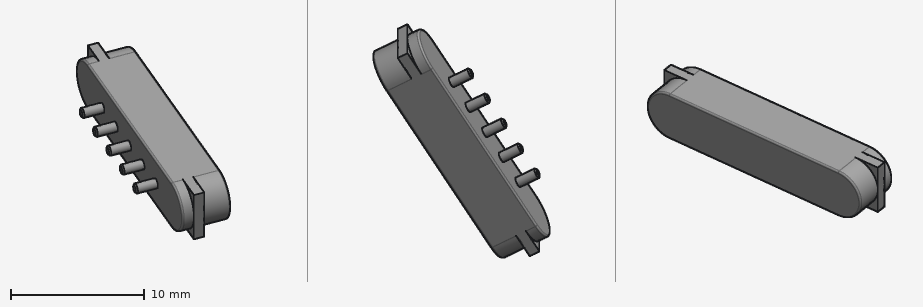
import cadquery as cq

length = 20.08
height = 4.2
body_depth = 4.0
body_edge_radius = 0.15

flange_setback = 0.96
flange_thickness = 0.85

pin_count = 5
pin_pitch = 2.53
pin_diameter = 0.8
pin_length = 1.75
pin_tip_chamfer = 0.12



def make_body():
    outline = cq.Workplane("XZ").slot2D(length, height)
    return outline.extrude(-body_depth).faces("<Y or >Y").fillet(body_edge_radius)


def make_flange():
    return (
        cq.Workplane("XZ", origin=(0, flange_setback, 0))
        .rect(length, height)
        .extrude(-flange_thickness)
    )


def make_pins():
    return (
        cq.Workplane("XZ")
        .rarray(pin_pitch, 0.2, pin_count, 1)
        .circle(pin_diameter / 2)
        .extrude(pin_length)
        .faces("<Y")
        .chamfer(pin_tip_chamfer)
    )


result = make_body().union(make_flange()).union(make_pins())